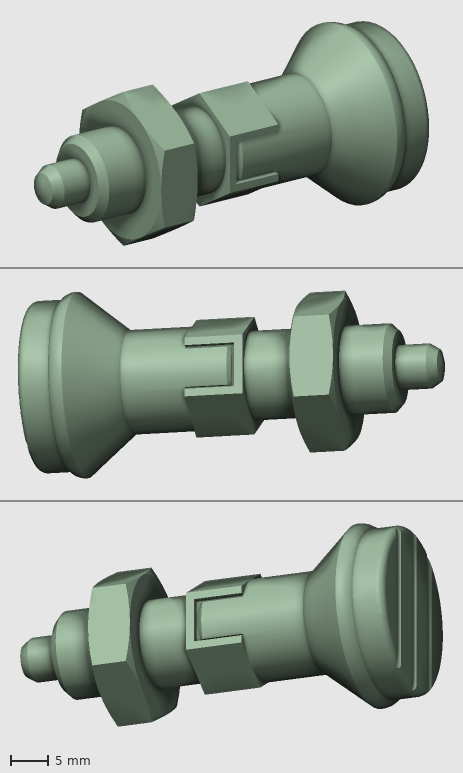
import cadquery as cq
import math

length = 56.0

pin_radius = 3.0
pin_tip_radius = 2.2
pin_chamfer_end = 1.8
pin_dome_height = 0.45

body_radius = 6.0
body_start = 6.0
body_chamfer = 1.0

nut_start = 13.0
nut_width = 6.0
nut_flats = 19.05
nut_chamfer_angle = 22.0

collar_start = 26.05
collar_end = 34.0
collar_flats = 14.0
slot_width = 6.0
slot_wall = 1.1
slot_floor = 6.0

tongue_width = 5.25
tongue_length = 5.75
tongue_lead = 0.55

neck_radius = 7.0
neck_end = 42.8
rim_radius = 12.5
rim_start = 49.55
rim_land = 0.2
rim_end = 51.65
rim_round = 2.35
cap_radius = 11.55
cap_round = 1.05

groove_pitch = 5.7
groove_width = 1.7
groove_depth = 0.4


def hexagon(flats, start, width):
    """Hexagonal prism along Y with two flats facing +X and -X."""
    corner_diameter = flats / math.cos(math.pi / 6)
    return (
        cq.Workplane("XZ", origin=(0, start + width, 0))
        .transformed(rotate=(0, 0, 30))
        .polygon(6, corner_diameter)
        .extrude(width)
    )


def revolved(profile):
    """Turn a closed profile of radius (X) and height (Y) about the Y axis."""
    return profile.close().revolve(360, (0, 0), (0, 1))


def make_shaft():
    return revolved(
        cq.Workplane("XY")
        .threePointArc((pin_tip_radius / 2, pin_dome_height / 4), (pin_tip_radius, pin_dome_height))
        .lineTo(pin_radius, pin_chamfer_end)
        .lineTo(pin_radius, body_start)
        .lineTo(body_radius - body_chamfer, body_start)
        .lineTo(body_radius, body_start + body_chamfer)
        .lineTo(body_radius, neck_end)
        .lineTo(0, neck_end)
    )


def make_nut():
    """Hexagon nut whose corners are bevelled on both faces."""
    face_radius = nut_flats / 2
    corner_rise = face_radius / math.cos(math.pi / 6) - face_radius
    bevel = corner_rise * math.tan(math.radians(nut_chamfer_angle))
    nut_end = nut_start + nut_width
    envelope = revolved(
        cq.Workplane("XY")
        .moveTo(0, nut_start)
        .lineTo(face_radius, nut_start)
        .lineTo(face_radius + corner_rise, nut_start + bevel)
        .lineTo(face_radius + corner_rise, nut_end - bevel)
        .lineTo(face_radius, nut_end)
        .lineTo(0, nut_end)
    )
    return hexagon(nut_flats, nut_start, nut_width).intersect(envelope)


def make_collar():
    """Hexagonal collar with slots open toward the knob."""
    collar = hexagon(collar_flats, collar_start, collar_end - collar_start)
    slot_length = collar_end - collar_start - slot_wall
    slot_depth = collar_flats / 2 - slot_floor
    for side in (-1, 1):
        slot = cq.Workplane("XY").box(slot_depth, slot_length, slot_width).translate(
            (side * (slot_floor + slot_depth / 2), collar_end - slot_length / 2, 0)
        )
        collar = collar.cut(slot)
    return collar


def make_knob():
    knob = revolved(
        cq.Workplane("XY")
        .moveTo(0, collar_end)
        .lineTo(neck_radius, collar_end)
        .lineTo(neck_radius, neck_end)
        .lineTo(rim_radius, rim_start)
        .lineTo(rim_radius, rim_start + rim_land)
        .radiusArc((cap_radius, rim_end), -rim_round)
        .lineTo(cap_radius, length - cap_round)
        .radiusArc((cap_radius - cap_round, length), -cap_round)
        .lineTo(0, length)
    )
    for index in (-1, 0, 1):
        knob = knob.cut(make_groove(index * groove_pitch))
    return knob


def make_groove(center):
    """Shallow arc-section groove running along Z over the crown."""
    return (
        cq.Workplane("XY")
        .moveTo(center - groove_width / 2, length)
        .threePointArc((center, length - groove_depth), (center + groove_width / 2, length))
        .close()
        .extrude(cap_radius, both=True)
    )


def make_tongues():
    """Neck-surface tongues, tapered at the tip, filling both slots."""
    tip = collar_end - tongue_length
    lead_end = tip - tongue_lead
    turned = revolved(
        cq.Workplane("XY")
        .moveTo(0, lead_end)
        .lineTo(neck_radius - tongue_lead, lead_end)
        .lineTo(neck_radius, tip)
        .lineTo(neck_radius, collar_end)
        .lineTo(0, collar_end)
    )
    band_length = collar_end - lead_end
    band = cq.Workplane("XY").box(2 * neck_radius, band_length, tongue_width).translate(
        (0, lead_end + band_length / 2, 0)
    )
    return turned.intersect(band)


result = make_shaft().union(make_nut()).union(make_collar()).union(make_tongues()).union(make_knob())